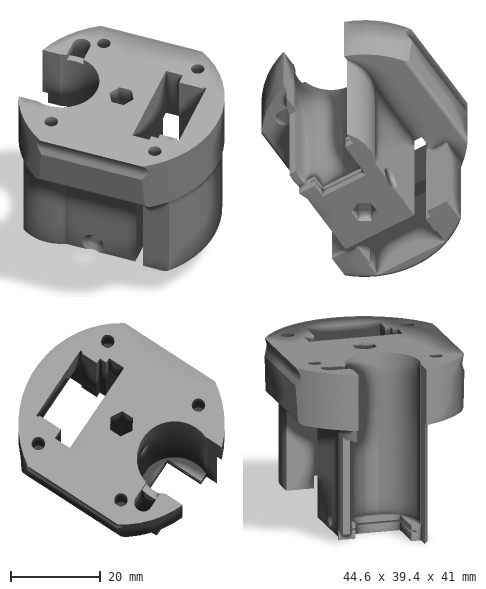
import cadquery as cq
import math

TOTAL_HEIGHT = 41.0
PLATE_BOTTOM = 28.0
LEG_BOTTOM = 5.5
SHELF_TOP = 3.52
THROUGH = 2 * TOTAL_HEIGHT

PLATE_RADIUS = 23.0
SIDE_HALF_WIDTH = 19.695
SIDE_TOP_INSET = 0.1
SIDE_FOOT_INSET = 0.45
GROOVE_INSET = 0.55
GROOVE_DEPTH = 0.8
GROOVE_ARC_TOP = 0.85
GROOVE_ARC_BOTTOM = 3.05
GROOVE_END = 4.1
EDGE_FILLET = 1.0

BORE_X = -14.25
BORE_RADIUS = 8.45
BORE_FLAT_X = -6.02
TOWER_RADIUS = 10.0
TOWER_END_X = 6.55
TOWER_HALF_WIDTH = 9.0
TOWER_TOP = TOTAL_HEIGHT - 1.5
CHANNEL_HALF_WIDTH = 7.9
CHANNEL_END_X = -17.5

SLOT_WIDTH = 4.0
SLOT_X = -14.0
SLOT_END_Y = 14.3
SLOT_CORNER_RADIUS = 1.95
SLOT_LEFT_X = SLOT_X - SLOT_WIDTH / 2
SLOT_RIGHT_X = SLOT_X + SLOT_WIDTH / 2
FLANGE_BOTTOM = 25.03
SLOT_WALL_BOTTOM = 2.45

SHELF_OPENING_X = -8.5
SHELF_OPENING_HALF_WIDTH = 5.7
SHELF_GROOVE_DEPTH = 1.1
SHELF_GROOVE_BOTTOM = 1.87
SHELF_GROOVE_TOP = SLOT_WALL_BOTTOM

LEG_RADIUS = 22.5
LEG_START_X = 10.57
LEG_HALF_WIDTH = 15.05
SOCKET_HALF_WIDTH = 10.97
SOCKET_NECK_HALF_WIDTH = 8.5
SOCKET_END_X = 16.9
SOCKET_LIP_HALF_WIDTH = 8.9
SOCKET_LIP_X = 16.3
SOCKET_STEP_Y = -9.75
SOCKET_STEP_X = 12.25
LEG_WALL_X = 19.85

HEX_ACROSS_FLATS = 5.0
SCREW_DIAMETER = 3.0
SCREW_DEPTH = 8.9
SCREW_TIP_ANGLE = 118.0
SCREW_PLACES = [(-9.5, 14.55), (13.0, 14.0), (13.0, -14.0), (-11.95, -13.03)]
CROSS_HOLE_DIAMETER = 3.1
CROSS_HOLE_X = -3.52
CROSS_HOLE_Z = 2.2
COUNTERSINK_DIAMETER = 5.15


def block(x_range, y_range, z_range):
    """Box between the given limits on each axis."""
    (x0, x1), (y0, y1), (z0, z1) = x_range, y_range, z_range
    return cq.Workplane("XY").box(x1 - x0, y1 - y0, z1 - z0, centered=False).translate((x0, y0, z0))


def rod(x, radius, bottom, top):
    """Upright cylinder centred on y = 0."""
    return cq.Workplane("XY", origin=(x, 0, bottom)).circle(radius).extrude(top - bottom)


def make_plate():
    top_y = SIDE_HALF_WIDTH - SIDE_TOP_INSET
    arc_y = SIDE_HALF_WIDTH - GROOVE_INSET
    deep_y = SIDE_HALF_WIDTH - GROOVE_DEPTH
    foot_y = SIDE_HALF_WIDTH - SIDE_FOOT_INSET
    arc_top = TOTAL_HEIGHT - GROOVE_ARC_TOP
    arc_bottom = TOTAL_HEIGHT - GROOVE_ARC_BOTTOM
    half_profile = (
        cq.Workplane("YZ")
        .moveTo(0, PLATE_BOTTOM)
        .lineTo(foot_y, PLATE_BOTTOM)
        .lineTo(SIDE_HALF_WIDTH, TOTAL_HEIGHT - GROOVE_END)
        .lineTo(arc_y, arc_bottom)
        .threePointArc((deep_y, (arc_top + arc_bottom) / 2), (arc_y, arc_top))
        .lineTo(top_y, TOTAL_HEIGHT)
        .lineTo(0, TOTAL_HEIGHT)
        .close()
        .extrude(PLATE_RADIUS, both=True)
        .edges("|X").edges("<Z").edges(">Y")
        .fillet(EDGE_FILLET)
    )
    sides = half_profile.union(half_profile.mirror("XZ"))
    return rod(0, PLATE_RADIUS, PLATE_BOTTOM, TOTAL_HEIGHT).intersect(sides)


def make_slot():
    slot = block((SLOT_LEFT_X, SLOT_RIGHT_X), (0, SLOT_END_Y), (0, TOTAL_HEIGHT))
    return slot.faces(">Y").edges("|Z").fillet(SLOT_CORNER_RADIUS)


def make_tower():
    barrel = rod(BORE_X, TOWER_RADIUS, 0, TOWER_TOP)
    body = block((BORE_X, TOWER_END_X), (-TOWER_HALF_WIDTH, TOWER_HALF_WIDTH), (0, TOWER_TOP))
    return barrel.union(body)


def make_leg():
    disc = rod(0, LEG_RADIUS, LEG_BOTTOM, PLATE_BOTTOM)
    limits = block((LEG_START_X, LEG_RADIUS + 0.45), (-LEG_HALF_WIDTH, LEG_HALF_WIDTH), (0, PLATE_BOTTOM))
    return disc.intersect(limits).faces("<Z").edges("%CIRCLE").fillet(EDGE_FILLET)


def make_bore():
    upper = rod(BORE_X, BORE_RADIUS, PLATE_BOTTOM, TOTAL_HEIGHT)
    left_of_flat = block((-PLATE_RADIUS, BORE_FLAT_X), (-BORE_RADIUS, BORE_RADIUS), (0, PLATE_BOTTOM))
    lower = rod(BORE_X, BORE_RADIUS, SHELF_TOP, PLATE_BOTTOM).intersect(left_of_flat)
    channel = block(
        (-THROUGH, CHANNEL_END_X), (-CHANNEL_HALF_WIDTH, CHANNEL_HALF_WIDTH), (0, TOTAL_HEIGHT)
    )
    return upper.union(lower).union(channel)


def make_shelf_cuts():
    opening = block(
        (-PLATE_RADIUS, SHELF_OPENING_X),
        (-SHELF_OPENING_HALF_WIDTH, SHELF_OPENING_HALF_WIDTH),
        (0, SHELF_TOP),
    )
    groove_half_width = SHELF_OPENING_HALF_WIDTH + SHELF_GROOVE_DEPTH
    groove = block(
        (-PLATE_RADIUS, SHELF_OPENING_X + SHELF_GROOVE_DEPTH),
        (-groove_half_width, groove_half_width),
        (SHELF_GROOVE_BOTTOM, SHELF_GROOVE_TOP),
    )
    return opening.union(groove)


def make_wall_cuts():
    """Shorten the tower wall beside and across the wire slot."""
    beside_slot = block((-THROUGH, SLOT_LEFT_X), (0, TOWER_RADIUS), (0, FLANGE_BOTTOM))
    below_wall = block((-THROUGH, SLOT_RIGHT_X), (0, TOWER_RADIUS), (0, SLOT_WALL_BOTTOM))
    shelf_end = block((-THROUGH, SLOT_RIGHT_X), (0, CHANNEL_HALF_WIDTH), (0, SHELF_TOP))
    inside_bore = rod(BORE_X, BORE_RADIUS, 0, SHELF_TOP).intersect(
        block((-THROUGH, SLOT_RIGHT_X), (0, BORE_RADIUS), (0, SHELF_TOP))
    )
    return beside_slot.union(below_wall).union(shelf_end).union(inside_bore)


def make_socket():
    height = (0, TOTAL_HEIGHT)
    neck = SOCKET_NECK_HALF_WIDTH
    lip = SOCKET_LIP_HALF_WIDTH
    wide = block((TOWER_END_X, LEG_START_X), (-SOCKET_HALF_WIDTH, SOCKET_HALF_WIDTH), height)
    narrow = block((TOWER_END_X, SOCKET_END_X), (-neck, neck), height)
    end_strip = block((SOCKET_LIP_X, SOCKET_END_X), (-lip, lip), height)
    step = block((TOWER_END_X, SOCKET_STEP_X), (SOCKET_STEP_Y, 0), height)
    below_plate = block((SOCKET_LIP_X, LEG_WALL_X), (-lip, lip), (0, PLATE_BOTTOM))
    return wide.union(narrow).union(end_strip).union(step).union(below_plate)


def make_screw_hole(x, y):
    """Blind hole from the plate top with a drill-point end."""
    radius = SCREW_DIAMETER / 2
    tip = radius / math.tan(math.radians(SCREW_TIP_ANGLE / 2))
    hole = (
        cq.Workplane("XZ")
        .polyline([(0, 0), (radius, 0), (radius, -SCREW_DEPTH), (0, -SCREW_DEPTH - tip)])
        .close()
        .revolve(360, (0, 0), (0, 1))
    )
    return hole.translate((x, y, TOTAL_HEIGHT))


def make_hex_hole():
    across_corners = HEX_ACROSS_FLATS / math.cos(math.pi / 6)
    return cq.Workplane("XY").polygon(6, across_corners).extrude(TOTAL_HEIGHT)


def make_cross_hole():
    """Hole along Y through the foot of the tower, with a 90 degree countersink."""
    radius = CROSS_HOLE_DIAMETER / 2
    sink_radius = COUNTERSINK_DIAMETER / 2
    hole = (
        cq.Workplane("XY")
        .polyline([
            (0, -TOWER_HALF_WIDTH),
            (sink_radius, -TOWER_HALF_WIDTH),
            (radius, -TOWER_HALF_WIDTH + sink_radius - radius),
            (radius, TOWER_HALF_WIDTH),
            (0, TOWER_HALF_WIDTH),
        ])
        .close()
        .revolve(360, (0, 0), (0, 1))
    )
    return hole.translate((CROSS_HOLE_X, 0, CROSS_HOLE_Z))


def make_housing():
    housing = make_plate().cut(make_slot()).union(make_tower()).union(make_leg())
    for cutter in (make_bore(), make_shelf_cuts(), make_wall_cuts(), make_socket()):
        housing = housing.cut(cutter)
    housing = housing.cut(make_hex_hole()).cut(make_cross_hole())
    for x, y in SCREW_PLACES:
        housing = housing.cut(make_screw_hole(x, y))
    return housing


housing = make_housing()

result = cq.Compound.makeCompound([housing.solids().val()])